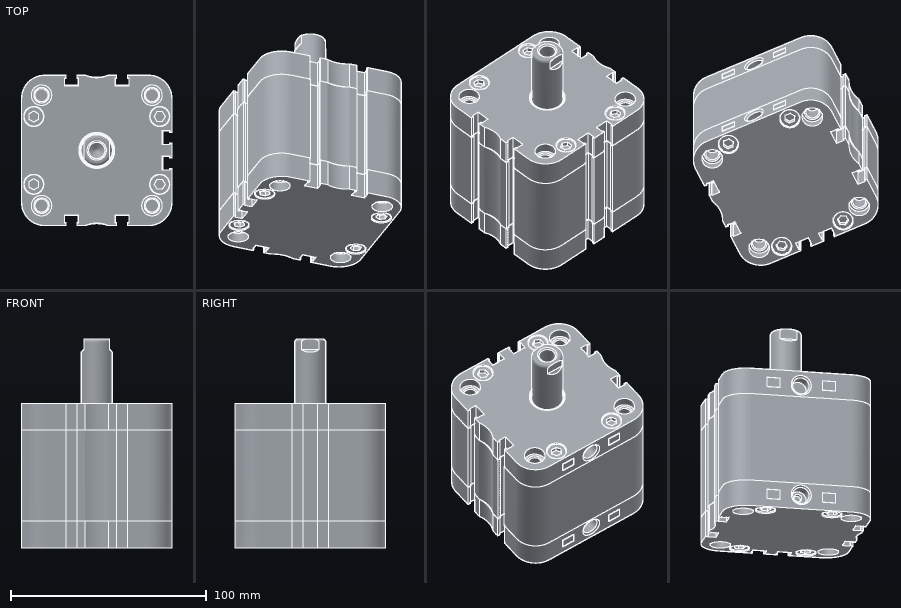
import cadquery as cq
import math


SIDE = 77.0
TOTAL_HEIGHT = 107.0
HOUSING_HEIGHT = 73.9
CAP_HEIGHT = 13.7
BARREL_HEIGHT = HOUSING_HEIGHT - 2 * CAP_HEIGHT
CORNER_RADIUS = 12.0
HALF_SIDE = SIDE / 2

SLOT_X = 13.0
SLOT_Y = 6.5
SLOT_MOUTH = 5.5
SLOT_WIDTH = 6.8
SLOT_DEPTH = 5.1
SLOT_LIP = 1.7
SIDE_SLOT_SHIFT = 0.4
CAP_CLEARANCE = 0.3

FLUTE_WIDTH = 12.0
FLUTE_DEPTH = 1.1

MOUNT_OFFSET = 28.2
MOUNT_BORE = 10.5
MOUNT_BORE_DEPTH = 5.0
MOUNT_HOLE = 6.6
MOUNT_HOLE_RIM = 7.9

SCREW_X = 32.2
SCREW_Y = 17.3
SCREW_RECESS = 10.3
SCREW_RECESS_DEPTH = 1.6
SCREW_HEAD = 9.8
SCREW_HEAD_SINK = 0.6
SOCKET_SIDES = 6
SOCKET_FLATS = 4.9
SOCKET_DEPTH = 2.4
LEFT_SOCKET_TURN = 30

PORT_HEIGHT = 7.5
PORT_HOLE = 8.6
PORT_RIM = 10.5
PORT_DEPTH = 8.6
PASSAGE_HOLE = 4.0
PASSAGE_SHIFT = 1.0
PASSAGE_LENGTH = 3.2

LABEL_OFFSET = 14.4
LABEL_HEIGHT = 6.8
LABEL_SIZE = (6.8, 5.0)
LABEL_DEPTH = 0.2

ROD_DIAMETER = 16.0
ROD_TIP_RADIUS = 1.8
FLAT_WIDTH = 13.3
FLAT_LENGTH = 5.5
ROD_THREAD = 8.3
ROD_THREAD_RIM = 9.8
ROD_THREAD_DEPTH = 16.0
DRILL_POINT_ANGLE = 118.0
SEAL_RECESS = 17.7
SEAL_RIM = 18.4
SEAL_DEPTH = 0.4
WIPER_STEP = 16.6
WIPER_STEP_DEPTH = 0.5


def box(x_range, y_range, height):
    """Box standing on Z = 0 between the given X and Y limits."""
    x_min, x_max = x_range
    y_min, y_max = y_range
    block = cq.Workplane("XY").box(x_max - x_min, y_max - y_min, height, centered=False)
    return block.translate((x_min, y_min, 0))


def countersunk_hole(diameter, rim, depth):
    """Cutter for a hole going down from Z = 0 with a 45 degree chamfer at its mouth."""
    chamfer = (rim - diameter) / 2
    profile = [(0, 0), (rim / 2, 0), (diameter / 2, -chamfer), (diameter / 2, -depth), (0, -depth)]
    return cq.Workplane("XZ").polyline(profile).close().revolve(360, (0, 0, 0), (0, 1, 0))


def t_slot(height, clearance):
    """T-slot cutter, open to -Y, with its mouth centred at the middle of the -Y side."""
    mouth = SLOT_MOUTH + clearance
    width = SLOT_WIDTH + clearance
    floor = -HALF_SIDE + SLOT_DEPTH + clearance
    lip = -HALF_SIDE + SLOT_LIP - clearance
    opening = box((-mouth / 2, mouth / 2), (-HALF_SIDE, floor), height)
    cavity = box((-width / 2, width / 2), (lip, floor), height)
    return opening.union(cavity)


def flute(height, clearance):
    """Shallow round cutter along the middle of the -Y side."""
    bottom = -HALF_SIDE + FLUTE_DEPTH + clearance
    return (
        cq.Workplane("XY")
        .moveTo(-FLUTE_WIDTH / 2, -HALF_SIDE)
        .threePointArc((0, bottom), (FLUTE_WIDTH / 2, -HALF_SIDE))
        .close()
        .extrude(height)
    )


def section_block(height, clearance):
    """Block with the outer section shared by barrel and caps, standing on Z = 0."""
    block = cq.Workplane("XY").rect(SIDE, SIDE).extrude(height).edges("|Z").fillet(CORNER_RADIUS)
    slot = t_slot(height, clearance)
    for x in (-SLOT_X, SLOT_X):
        front_slot = slot.translate((x, 0, 0))
        block = block.cut(front_slot).cut(front_slot.mirror("XZ"))
    right_slot = slot.rotate((0, 0, 0), (0, 0, 1), 90)
    for y in (-SLOT_Y, SLOT_Y):
        block = block.cut(right_slot.translate((SIDE_SLOT_SHIFT, y, 0)))
    front_flute = flute(height, clearance)
    return block.cut(front_flute).cut(front_flute.mirror("XZ"))


def mount_hole():
    """Counterbored and chamfered hole through the cap, going down from Z = 0."""
    bore = cq.Workplane("XY").circle(MOUNT_BORE / 2).extrude(-MOUNT_BORE_DEPTH)
    hole = countersunk_hole(MOUNT_HOLE, MOUNT_HOLE_RIM, CAP_HEIGHT - MOUNT_BORE_DEPTH)
    return bore.union(hole.translate((0, 0, -MOUNT_BORE_DEPTH)))


def screw_recess(socket_turn):
    """Empty space above, around and inside a screw head, going down from Z = 0."""
    recess = cq.Workplane("XY").circle(SCREW_RECESS / 2).extrude(-SCREW_RECESS_DEPTH)
    head_top = cq.Workplane("XY").workplane(offset=-SCREW_HEAD_SINK)
    head = head_top.circle(SCREW_HEAD / 2).extrude(SCREW_HEAD_SINK - SCREW_RECESS_DEPTH)
    socket_corners = SOCKET_FLATS / math.cos(math.pi / SOCKET_SIDES)
    socket = head_top.polygon(SOCKET_SIDES, socket_corners).extrude(-SOCKET_DEPTH)
    return recess.cut(head).union(socket.rotate((0, 0, 0), (0, 0, 1), socket_turn))


def end_cap():
    """End cap with its outer face up, at Z = CAP_HEIGHT."""
    cap = section_block(CAP_HEIGHT, CAP_CLEARANCE)
    for x_sign in (-1, 1):
        socket_turn = LEFT_SOCKET_TURN if x_sign < 0 else 0
        for y_sign in (-1, 1):
            mount_place = (x_sign * MOUNT_OFFSET, y_sign * MOUNT_OFFSET, CAP_HEIGHT)
            screw_place = (x_sign * SCREW_X, y_sign * SCREW_Y, CAP_HEIGHT)
            cap = cap.cut(mount_hole().translate(mount_place))
            cap = cap.cut(screw_recess(socket_turn).translate(screw_place))

    port = countersunk_hole(PORT_HOLE, PORT_RIM, PORT_DEPTH).rotate((0, 0, 0), (0, 1, 0), -90)
    cap = cap.cut(port.translate((-HALF_SIDE, 0, CAP_HEIGHT - PORT_HEIGHT)))

    label = cq.Workplane("XY").box(2 * LABEL_DEPTH, *LABEL_SIZE)
    for y in (-LABEL_OFFSET, LABEL_OFFSET):
        cap = cap.cut(label.translate((-HALF_SIDE, y, CAP_HEIGHT - LABEL_HEIGHT)))
    return cap


def upper_cap():
    """End cap at the rod end, with the rod guide and the seal recess around the rod."""
    cap = end_cap()
    guide = cq.Workplane("XY").circle(ROD_DIAMETER / 2).extrude(CAP_HEIGHT)
    seal = countersunk_hole(SEAL_RECESS, SEAL_RIM, SEAL_DEPTH).translate((0, 0, CAP_HEIGHT))
    wiper = cq.Workplane("XY").circle(WIPER_STEP / 2).extrude(-SEAL_DEPTH - WIPER_STEP_DEPTH)
    cap = cap.cut(guide).cut(seal).cut(wiper.translate((0, 0, CAP_HEIGHT)))
    return cap.translate((0, 0, CAP_HEIGHT + BARREL_HEIGHT))


def lower_cap():
    """Closed end cap, outer face down, with an air passage behind its port."""
    cap = end_cap().mirror("XY").translate((0, 0, CAP_HEIGHT))
    passage = cq.Workplane("YZ").circle(PASSAGE_HOLE / 2).extrude(PORT_DEPTH + PASSAGE_LENGTH)
    return cap.cut(passage.translate((-HALF_SIDE, 0, PORT_HEIGHT + PASSAGE_SHIFT)))


def barrel():
    """Profile between the two caps."""
    return section_block(BARREL_HEIGHT, 0).translate((0, 0, CAP_HEIGHT))


def piston_rod():
    """Rod from the barrel end up, with wrench flats and a tapped hole in its tip."""
    rod_bottom = CAP_HEIGHT + BARREL_HEIGHT
    radius = ROD_DIAMETER / 2
    rod = cq.Workplane("XY").circle(radius).extrude(TOTAL_HEIGHT - rod_bottom)
    rod = rod.faces(">Z").edges().fillet(ROD_TIP_RADIUS).translate((0, 0, rod_bottom))

    flat_bottom = TOTAL_HEIGHT - FLAT_LENGTH
    runout = radius - FLAT_WIDTH / 2
    flat_profile = [
        (FLAT_WIDTH / 2, TOTAL_HEIGHT),
        (FLAT_WIDTH / 2, flat_bottom),
        (radius, flat_bottom - runout),
        (radius, TOTAL_HEIGHT),
    ]
    flat = cq.Workplane("XZ").polyline(flat_profile).close().extrude(radius, both=True)
    rod = rod.cut(flat).cut(flat.mirror("YZ"))

    thread = countersunk_hole(ROD_THREAD, ROD_THREAD_RIM, ROD_THREAD_DEPTH)
    point_height = ROD_THREAD / 2 / math.tan(math.radians(DRILL_POINT_ANGLE / 2))
    point_profile = [(0, 0), (ROD_THREAD / 2, 0), (0, -point_height)]
    point = cq.Workplane("XZ").polyline(point_profile).close().revolve(360, (0, 0, 0), (0, 1, 0))
    tapped_hole = thread.union(point.translate((0, 0, -ROD_THREAD_DEPTH)))
    return rod.cut(tapped_hole.translate((0, 0, TOTAL_HEIGHT)))


result = cq.Compound.makeCompound([
    upper_cap().val(),
    barrel().val(),
    lower_cap().val(),
    piston_rod().val(),
])